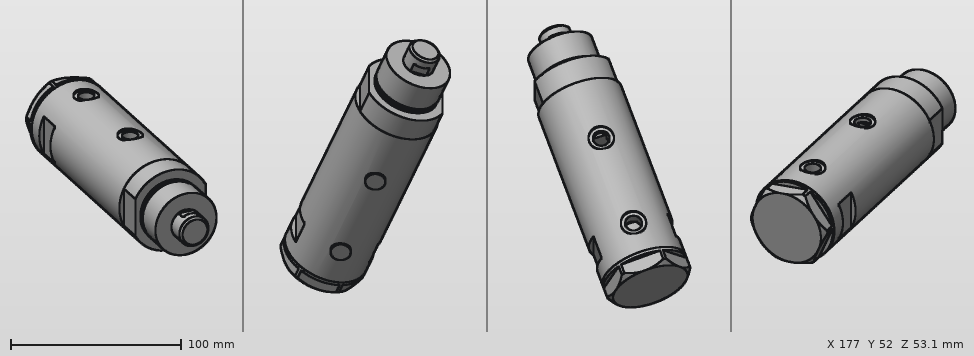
import cadquery as cq
import math


hex_end = 8.8
cap_joint = 11.0
plug_end = 34.9
gland_spigot_start = 92.5
gland_joint = 128.8
shoulder_end = 144.2
neck_end = 165.0
rod_end = 177.02

body_diameter = 52.0
wrench_width = 46.0
bore_diameter = 35.0
gland_spigot_diameter = 44.0
neck_diameter = 40.0
rod_diameter = 19.0
body_radius = body_diameter / 2
bore_radius = bore_diameter / 2
neck_radius = neck_diameter / 2

hex_chamfer = 2.9
hex_turn = 7.5

slot_start = 21.1
slot_length = 15.0

port_positions = (30.7, 89.8)
port_diameter = 9.8
seat_diameter = 15.0
seat_height = 24.8

stud_positions = (34.9, 92.9)
stud_diameter = 12.0
stud_bottom = -27.1

groove_radius = 19.1
groove_lead_in = 0.9
groove_lead_in_radius = 19.8
groove_flat_end = 146.4
groove_step_radius = 19.5
groove_step_end = 146.9
groove_end = 147.8

rod_flat_end = 170.9
rod_flat_width = 16.2
rod_chamfer = 1.4


def cylinder(start, end, diameter):
    """Cylinder on the X axis between two stations."""
    return cq.Workplane("YZ", origin=(start, 0, 0)).circle(diameter / 2).extrude(end - start)


def two_flats(start, end, width, axis):
    """The two blocks that cut parallel flats a given width apart, facing along Y or Z."""
    length = end - start
    depth = body_radius - width / 2
    offset = width / 2 + depth / 2
    if axis == "Y":
        size = (length, depth, body_diameter)
        places = [(0, offset, 0), (0, -offset, 0)]
    else:
        size = (length, body_diameter, depth)
        places = [(0, 0, offset), (0, 0, -offset)]
    middle = cq.Workplane("XY", origin=((start + end) / 2, 0, 0))
    return middle.pushPoints(places).box(*size)


def make_cap():
    """Hexagon-headed end cap with a round flange and a plug that enters the bore."""
    corner_diameter = wrench_width / math.cos(math.radians(30))
    hexagon = (
        cq.Workplane("YZ")
        .polygon(6, corner_diameter)
        .extrude(hex_end)
        .rotate((0, 0, 0), (1, 0, 0), -hex_turn)
    )
    head = cylinder(0, hex_end, body_diameter).faces("<X").chamfer(hex_chamfer).intersect(hexagon)
    flange = cylinder(hex_end, cap_joint, body_diameter)
    plug = cylinder(cap_joint, plug_end, bore_diameter)
    return head.union(flange).union(plug)


def make_housing():
    """Tube with wrench flats, two ports on top and two studs underneath."""
    tube = cylinder(cap_joint, gland_joint, body_diameter)
    studs = (
        cq.Workplane("XY", origin=(0, 0, stud_bottom))
        .pushPoints([(x, 0) for x in stud_positions])
        .circle(stud_diameter / 2)
        .extrude(-bore_radius - stud_bottom)
    )
    tube = tube.union(studs)
    tube = tube.cut(cylinder(cap_joint, gland_joint, bore_diameter))
    tube = tube.cut(cylinder(gland_spigot_start, gland_joint, gland_spigot_diameter))
    tube = tube.cut(two_flats(slot_start, slot_start + slot_length, wrench_width, "Y"))
    ports = cq.Workplane("XY").pushPoints([(x, 0) for x in port_positions])
    seats = (
        cq.Workplane("XY", origin=(0, 0, seat_height))
        .pushPoints([(x, 0) for x in port_positions])
        .circle(seat_diameter / 2)
        .extrude(body_radius)
    )
    return tube.cut(ports.circle(port_diameter / 2).extrude(body_radius)).cut(seats)


def make_gland():
    """Rod guide: spigot in the housing, flatted shoulder, relief groove and neck."""
    profile = [
        (gland_spigot_start, 0),
        (gland_spigot_start, gland_spigot_diameter / 2),
        (gland_joint, gland_spigot_diameter / 2),
        (gland_joint, body_radius),
        (shoulder_end, body_radius),
        (shoulder_end, groove_lead_in_radius),
        (shoulder_end + groove_lead_in, groove_radius),
        (groove_flat_end, groove_radius),
        (groove_step_end, groove_step_radius),
        (groove_end, neck_radius),
        (neck_end, neck_radius),
        (neck_end, 0),
    ]
    gland = cq.Workplane("XZ").polyline(profile).close().revolve(360, (0, 0, 0), (1, 0, 0))
    gland = gland.cut(two_flats(gland_joint, shoulder_end, wrench_width, "Y"))
    return gland.cut(cylinder(gland_spigot_start, neck_end, rod_diameter))


def make_rod():
    """Round rod with two flats just outside the neck and a chamfered tip."""
    rod = cylinder(plug_end, rod_end, rod_diameter).faces(">X").chamfer(rod_chamfer)
    return rod.cut(two_flats(neck_end, rod_flat_end, rod_flat_width, "Z"))


cap = make_cap()
housing = make_housing()
gland = make_gland()
rod = make_rod()

result = cq.Compound.makeCompound([cap.val(), housing.val(), gland.val(), rod.val()])